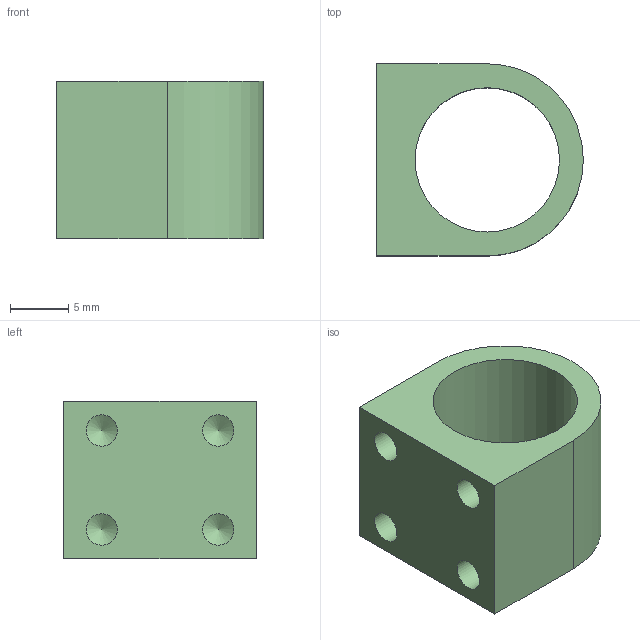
import cadquery as cq
import math

width = 16.5
height = 13.5
outer_radius = width / 2
flat_length = 9.5
bore_diameter = 12.4

hole_diameter = 2.7
hole_depth = 4.0
drill_point_angle = 118.0
hole_spacing_y = 10.0
hole_spacing_z = 8.5


def make_body():
    """D-shaped block centred on the bore axis, standing on Z = 0."""
    return (
        cq.Workplane("XY")
        .moveTo(-flat_length, -outer_radius)
        .lineTo(0, -outer_radius)
        .threePointArc((outer_radius, 0), (0, outer_radius))
        .lineTo(-flat_length, outer_radius)
        .close()
        .extrude(height)
    )


def make_bore():
    """Through bore along Z."""
    return cq.Workplane("XY").circle(bore_diameter / 2).extrude(height)


def make_drilled_hole(y, z):
    """Blind hole with a conical end, drilled along +X from the mounting face."""
    radius = hole_diameter / 2
    point_length = radius / math.tan(math.radians(drill_point_angle / 2))
    return (
        cq.Workplane("XY")
        .polyline([(0, 0), (0, radius), (hole_depth, radius), (hole_depth + point_length, 0)])
        .close()
        .revolve(360, (0, 0, 0), (1, 0, 0))
        .translate((-flat_length, y, z))
    )


result = make_body().cut(make_bore())
for side_y in (-1, 1):
    for side_z in (-1, 1):
        hole_y = side_y * hole_spacing_y / 2
        hole_z = height / 2 + side_z * hole_spacing_z / 2
        result = result.cut(make_drilled_hole(hole_y, hole_z))